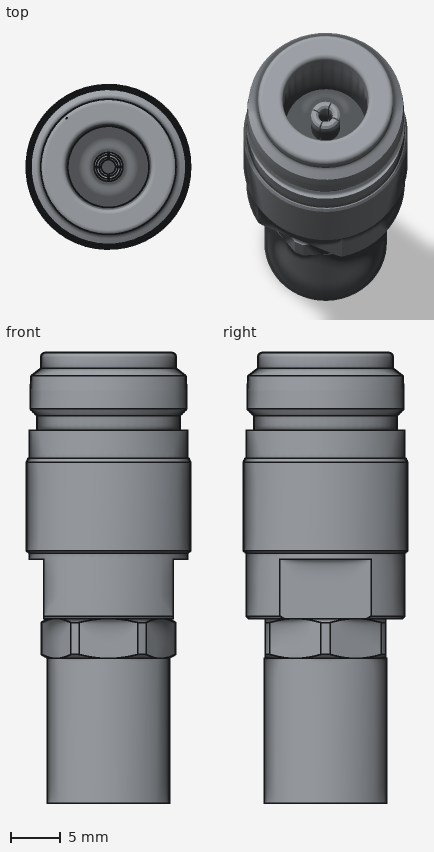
import cadquery as cq
import math


total_height = 45.15
hex_bottom = 14.55
body_bottom = 18.45
wrench_flat_top = 24.43
grip_bottom = 25.05
grip_top = 34.55
groove_bottom = 37.4
thread_bottom = 38.85
thread_crest_top = 41.35
thread_taper_top = 42.8
nose_bottom = 43.55

tube_radius = 6.15
body_radius = 7.95
grip_diameter = 16.5
grip_radius = grip_diameter / 2
groove_radius = 7.2
thread_radius = 7.85
thread_taper_radius = 7.75
nose_radius = 6.75

body_chamfer = 0.25
grip_chamfer_radial = 0.2
grip_chamfer_axial = 0.4
grip_lower_chamfer = 0.23
nose_fillet = 0.45

wrench_flat_distance = 13.0
hex_across_flats = 12.1
hex_corner_radius = 6.73
hex_chamfer_start_radius = 6.1
hex_chamfer_angle = 30
hex_sides = 6

socket_depth = 9.05
socket_mouth_radius = 4.3
socket_floor_radius = 4.05
mouth_fillet = 0.45
contact_tip_depth = 4.95
contact_radius = 1.45
contact_hole_radius = 0.7
contact_chamfer = 0.23
contact_slot_width = 0.15
contact_slot_count = 2


def turned(profile):
    """Close a profile of (radius, height) points and turn it around Z."""
    return profile.close().revolve(360, (0, 0), (0, 1))


def make_tube():
    return cq.Workplane("XY").circle(tube_radius).extrude(hex_bottom)


def make_hex_nut():
    """Hexagon with two flats facing +-Y, rounded corners and chamfered ends."""
    height = body_bottom - hex_bottom
    across_corners = hex_across_flats / math.cos(math.pi / hex_sides)
    hexagon = cq.Workplane("XY").workplane(offset=hex_bottom).polygon(hex_sides, across_corners)
    hexagon = hexagon.extrude(height)
    corner_reach = hex_corner_radius - hex_chamfer_start_radius
    chamfer_drop = corner_reach * math.tan(math.radians(hex_chamfer_angle))
    envelope = (
        cq.Workplane("XY").workplane(offset=hex_bottom).circle(hex_corner_radius).extrude(height)
        .faces("<Z or >Z").chamfer(chamfer_drop, corner_reach)
    )
    return hexagon.intersect(envelope)


def make_body():
    """Turned body from the hex nut up to the nose, with two wrench flats facing +-X."""
    nose_start = total_height - nose_fillet
    profile = (
        cq.Workplane("XZ")
        .moveTo(0, body_bottom)
        .lineTo(body_radius - body_chamfer, body_bottom)
        .lineTo(body_radius, body_bottom + body_chamfer)
        .lineTo(body_radius, grip_bottom)
        .lineTo(grip_radius, grip_bottom + grip_lower_chamfer)
        .lineTo(grip_radius, grip_top - grip_chamfer_axial)
        .lineTo(grip_radius - grip_chamfer_radial, grip_top)
        .lineTo(body_radius, grip_top)
        .lineTo(body_radius, groove_bottom)
        .lineTo(groove_radius, groove_bottom)
        .lineTo(groove_radius, thread_bottom)
        .lineTo(thread_radius, thread_bottom + thread_radius - groove_radius)
        .lineTo(thread_radius, thread_crest_top)
        .lineTo(thread_taper_radius, thread_taper_top)
        .lineTo(nose_radius, nose_bottom)
        .lineTo(nose_radius, nose_start)
        .radiusArc((nose_radius - nose_fillet, total_height), -nose_fillet)
        .lineTo(0, total_height)
    )
    body = turned(profile)
    flat_height = wrench_flat_top - body_bottom
    flat_depth = grip_radius - wrench_flat_distance / 2
    for side in (-1, 1):
        flat_cut = (
            cq.Workplane("XY")
            .box(flat_depth, 2 * grip_radius, flat_height, centered=(True, True, False))
            .translate((side * (wrench_flat_distance + flat_depth) / 2, 0, body_bottom))
        )
        body = body.cut(flat_cut)
    return body


def make_socket():
    """Tapered bore with a rounded mouth, as the volume to remove."""
    floor = total_height - socket_depth
    profile = (
        cq.Workplane("XZ")
        .moveTo(0, floor)
        .lineTo(socket_floor_radius, floor)
        .lineTo(socket_mouth_radius, total_height - mouth_fillet)
        .radiusArc((socket_mouth_radius + mouth_fillet, total_height), mouth_fillet)
        .lineTo(0, total_height)
    )
    return turned(profile)


def make_contact():
    """Hollow pin on the socket floor, its wall split by crossing slots."""
    floor = total_height - socket_depth
    height = socket_depth - contact_tip_depth
    contact = (
        cq.Workplane("XY").workplane(offset=floor)
        .circle(contact_radius).circle(contact_hole_radius).extrude(height)
        .faces(">Z").chamfer(contact_chamfer)
    )
    for index in range(contact_slot_count):
        slot = (
            cq.Workplane("XY")
            .box(2 * contact_radius, contact_slot_width, height, centered=(True, True, False))
            .rotate((0, 0, 0), (0, 0, 1), index * 180 / contact_slot_count)
            .translate((0, 0, floor))
        )
        contact = contact.cut(slot)
    return contact


result = make_tube().union(make_hex_nut()).union(make_body()).cut(make_socket()).union(make_contact())